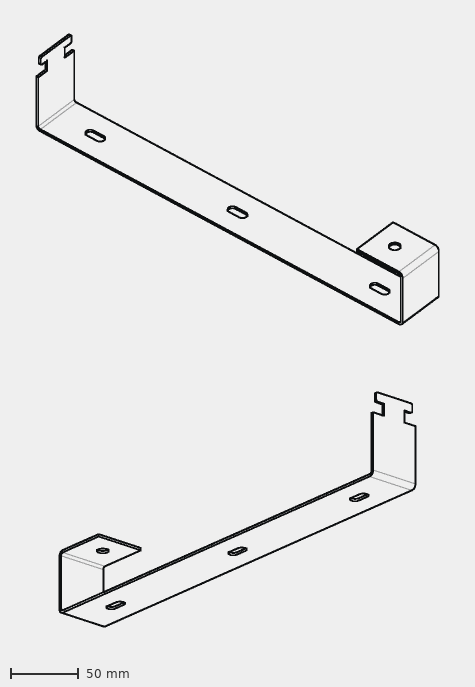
import cadquery as cq

length = 354.0
width = 41.0
height = 67.0
thickness = 2.0
inner_bend_radius = 2.0
outer_bend_radius = inner_bend_radius + thickness

lip_height = 50.0
lip_length = 44.3
lip_hole_diameter = 9.0
lip_hole_from_edge = 25.0

shoulder_height = 50.0
neck_width = 20.0
head_width = 35.0
head_height = 7.5
head_corner_radius = 1.5

slot_count = 3
slot_pitch = 137.5
slot_length = 17.0
slot_width = 7.5


def bent_strip():
    """Full-width strip: left wall, base, right wall and lip."""
    lip_end = length - lip_length
    profile = (
        cq.Workplane("XZ")
        .moveTo(0, 0)
        .lineTo(length, 0)
        .lineTo(length, lip_height)
        .lineTo(lip_end, lip_height)
        .lineTo(lip_end, lip_height - thickness)
        .lineTo(length - thickness, lip_height - thickness)
        .lineTo(length - thickness, thickness)
        .lineTo(thickness, thickness)
        .lineTo(thickness, shoulder_height)
        .lineTo(0, shoulder_height)
        .close()
    )
    strip = profile.extrude(width / 2, both=True)

    outside_corners = [(0, 0), (length, 0), (length, lip_height)]
    inside_corners = [
        (thickness, thickness),
        (length - thickness, thickness),
        (length - thickness, lip_height - thickness),
    ]
    for corners, radius in (
        (outside_corners, outer_bend_radius),
        (inside_corners, inner_bend_radius),
    ):
        for x, z in corners:
            bend_edge = cq.selectors.NearestToPointSelector((x, 0, z))
            strip = strip.edges(bend_edge).fillet(radius)
    return strip


def wall_tab():
    """Neck and rounded head that continue the left wall upwards."""
    head = (
        cq.Workplane("YZ")
        .center(0, height - head_height / 2)
        .rect(head_width, head_height)
        .extrude(thickness)
        .edges("|X")
        .fillet(head_corner_radius)
    )
    neck_top = height - head_height / 2
    neck_height = neck_top - shoulder_height
    neck = (
        cq.Workplane("YZ")
        .center(0, shoulder_height + neck_height / 2)
        .rect(neck_width, neck_height)
        .extrude(thickness)
    )
    return head.union(neck)


def base_slots():
    """Evenly spaced slot cutters, centred on the base."""
    return (
        cq.Workplane("XY")
        .center(length / 2, 0)
        .rarray(slot_pitch, 3.5, slot_count, 1)
        .slot2D(slot_length, slot_width)
        .extrude(thickness)
    )


def lip_hole():
    """Round hole cutter through the lip only."""
    return (
        cq.Workplane("XY", origin=(length - lip_hole_from_edge, 0, lip_height - thickness))
        .circle(lip_hole_diameter / 2)
        .extrude(thickness)
    )


result = bent_strip().union(wall_tab()).cut(base_slots()).cut(lip_hole())